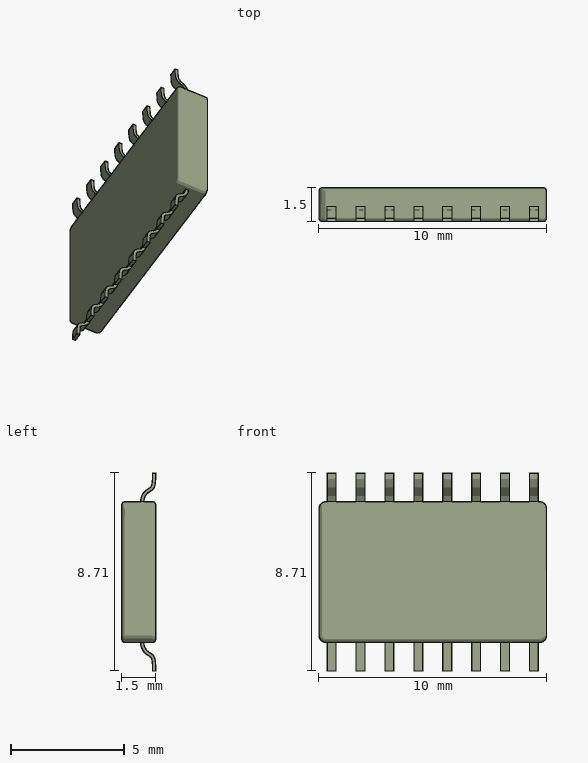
import cadquery as cq

body_length = 10.0
body_depth = 1.5
body_height = 6.2
total_height = 8.71

corner_radius = 0.31
edge_radius = 0.15

leads_per_row = 8
lead_pitch = 1.27
lead_width = 0.4
lead_thickness = 0.15
lead_embed = 0.1

root_offset = 0.6
shoulder_offset = 0.56
shoulder_height = 0.2
upper_slope_offset = 0.4
upper_slope_height = 0.43
lower_slope_offset = 0.25
lower_slope_height = 0.53
ankle_offset = 0.13
ankle_height = 0.66
heel_offset = 0.09
heel_height = 0.85

front_y = -body_depth / 2
body_top = body_height / 2
foot_offset = lead_thickness / 2
foot_height = (total_height - body_height) / 2


def make_body():
    """Block with round corners seen along Y and rounded front and back rims."""
    body = cq.Workplane("XY").box(body_length, body_depth, body_height)
    body = body.edges("|Y").fillet(corner_radius)
    return body.faces("<Y or >Y").edges().fillet(edge_radius)


def make_lead():
    """Upper lead centred on X = 0: a flat strip swept along one smooth S-curve."""
    stations = [
        (root_offset, -lead_embed),
        (shoulder_offset, shoulder_height),
        (upper_slope_offset, upper_slope_height),
        (lower_slope_offset, lower_slope_height),
        (ankle_offset, ankle_height),
        (heel_offset, heel_height),
        (foot_offset, foot_height),
    ]
    points = [(front_y + offset, body_top + height) for offset, height in stations]
    upward = (0, 1)
    centreline = cq.Workplane("YZ").spline(points, tangents=[upward, upward])
    root_plane = cq.Workplane("XY", origin=(0, points[0][0], points[0][1]))
    return root_plane.rect(lead_width, lead_thickness).sweep(centreline)


upper_lead = make_lead()
lower_lead = upper_lead.mirror("XY")

result = make_body()
for index in range(leads_per_row):
    lead_x = (index - (leads_per_row - 1) / 2) * lead_pitch
    for lead in (upper_lead, lower_lead):
        result = result.union(lead.translate((lead_x, 0, 0)))